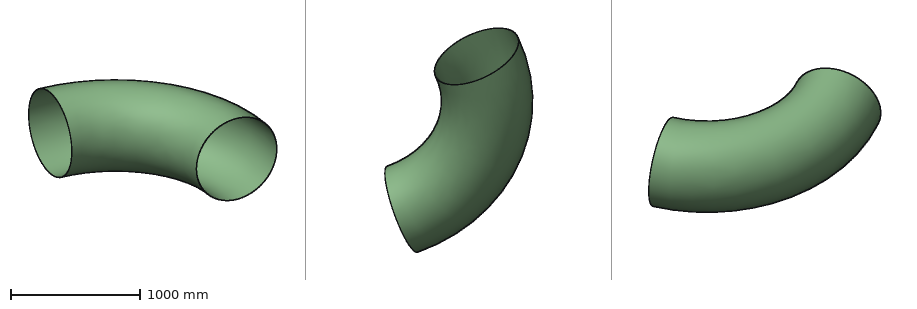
import cadquery as cq

outer_diameter = 711.0
wall_thickness = 4.0
bend_angle = 90.0
bend_radius = 1.5 * outer_diameter

outer_radius = outer_diameter / 2
inner_radius = outer_radius - wall_thickness

pipe_section = (
    cq.Workplane("XZ")
    .circle(outer_radius)
    .circle(inner_radius)
)

bend_axis_start = (bend_radius, 0)
bend_axis_end = (bend_radius, -1)
result = pipe_section.revolve(bend_angle, bend_axis_start, bend_axis_end)